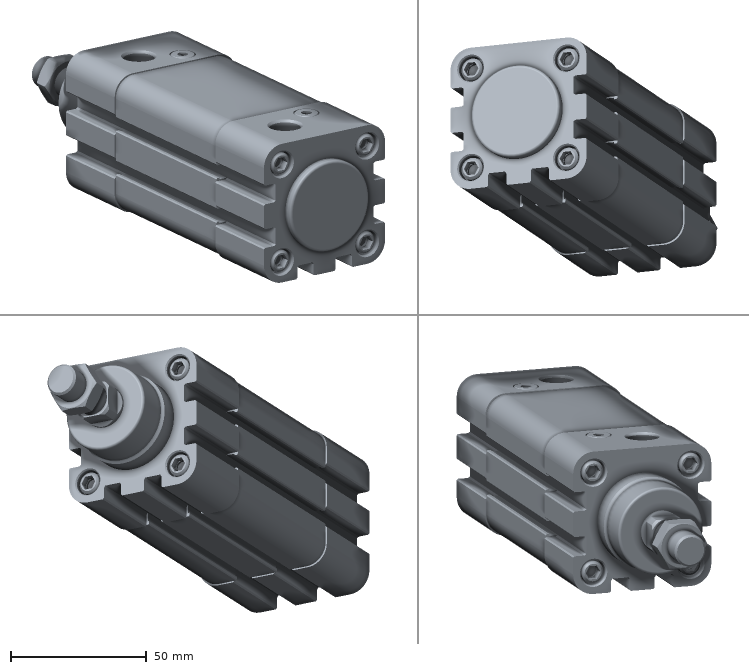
import cadquery as cq
import math


cap_width = 54.0
cap_length = 32.0
cap_corner_radius = 8.0
tube_inset = 0.5
tube_length = 66.0
tube_width = cap_width - 2 * tube_inset
tube_corner_radius = cap_corner_radius
rear_cap_start = cap_length + tube_length
body_length = rear_cap_start + cap_length

collar_diameter = 35.0
front_collar_length = 8.0
nose_diameter = 33.0
nose_end = -21.0
collar_chamfer = 1.0
nose_fillet = 1.0
rear_collar_fillet = 1.0
rear_collar_length = 3.5

slot_offset = 8.5
slot_floor = 21.8
cap_slot_width = 7.3
cap_slot_edge_chamfer = 0.5
cap_slot_floor_width = 6.3
cap_slot_taper_height = 0.8
tube_slot_width = 6.2
tube_slot_mouth_width = 5.0
tube_slot_mouth_chamfer = 0.4
tube_slot_lip_depth = 1.4
slot_face_angles = (90, 180, 270)

countersink_half_angle = 45.0

screw_spacing = 38.0
screw_hole_diameter = 9.7
screw_hole_depth = 5.0
screw_hole_chamfer = 0.5
screw_head_diameter = 8.4
screw_head_recess = 0.5
screw_head_chamfer = 0.9
screw_socket_width = 5.0
screw_socket_depth = 3.0
screw_bore_diameter = 4.92
screw_bore_depth = 4.0

cushion_y = 8.5
cushion_from_end = 24.4
cushion_protrusion = 0.08
cushion_hole_depth = 3.0
cushion_head_diameter = 9.7
cushion_head_face_diameter = 8.4
cushion_socket_diameter = 4.0
cushion_socket_step_depth = 0.5
cushion_hex_width = 3.0
cushion_hex_depth = 2.0
port_y = -6.0
port_from_end = 17.0
port_diameter = 11.45
port_rim_diameter = 13.2
port_depth = 12.0

rod_diameter = 16.0
rod_tip = -54.0
stud_diameter = 12.0
stud_end = -30.0
stud_chamfer = 0.75
shoulder_chamfer = 0.9
flat_width = 13.0
flat_end = -23.0
flat_runout = 1.1
nut_start = -45.3
nut_thickness = 7.0
nut_width = 17.0
nut_face_diameter = 16.6
nut_chamfer_angle = 30.0
rod_bore_depth = cap_length


def axial_plane(x):
    """Plane across the cylinder axis: local x is Y, local y is Z, extrusion goes to +X."""
    return cq.Workplane("YZ", origin=(x, 0, 0))


def rounded_block(x, length, width, radius):
    block = axial_plane(x).rect(width, width).extrude(length)
    return block.edges("|X").fillet(radius)


def extrude_slot(x, length, left_side):
    """Symmetrical slot cutter from the points of its left side, listed from the mouth down."""
    right_side = [(-y, z) for y, z in reversed(left_side)]
    return axial_plane(x).polyline(left_side + right_side).close().extrude(length)


def cap_slot(x):
    """Cap slot cutter opening upwards, with a flared mouth and a tapered bottom."""
    half = cap_slot_width / 2
    top = cap_width / 2
    chamfer = cap_slot_edge_chamfer
    floor = cap_slot_floor_width / 2
    left_side = [
        (-half - chamfer, top),
        (-half, top - chamfer),
        (-half, slot_floor + cap_slot_taper_height),
        (-floor, slot_floor),
    ]
    return extrude_slot(x, cap_length, left_side)


def tube_slot():
    """Tube slot cutter opening upwards, with lips that narrow its mouth."""
    half = tube_slot_width / 2
    mouth = tube_slot_mouth_width / 2
    top = tube_width / 2
    chamfer = tube_slot_mouth_chamfer
    lip_bottom = top - tube_slot_lip_depth
    left_side = [
        (-mouth - chamfer, top),
        (-mouth, top - chamfer),
        (-mouth, lip_bottom),
        (-half, lip_bottom),
        (-half, slot_floor),
    ]
    return extrude_slot(cap_length, tube_length, left_side)


def cut_slots(body):
    for cutter in (cap_slot(0), tube_slot(), cap_slot(rear_cap_start)):
        for angle in slot_face_angles:
            for offset in (-slot_offset, slot_offset):
                slot = cutter.translate((0, offset, 0))
                body = body.cut(slot.rotate((0, 0, 0), (1, 0, 0), angle))
    return body


def hexagon_across(width):
    """Diameter of the circle through the corners of a hexagon of this width across flats."""
    return width / math.cos(math.pi / 6)


def assembly_screw_pocket():
    """Countersunk hole cutter on the axis, sunk into the front face."""
    pocket = axial_plane(0).circle(screw_hole_diameter / 2).extrude(screw_hole_depth)
    rim_radius = screw_hole_diameter / 2 + screw_hole_chamfer
    rim = axial_plane(0).circle(rim_radius).extrude(screw_hole_chamfer, taper=countersink_half_angle)
    return pocket.union(rim)


def assembly_screw():
    """Screw head on the axis, standing on the floor of its pocket, with a hexagon socket."""
    head_length = screw_hole_depth - screw_head_recess
    head = axial_plane(screw_head_recess).circle(screw_head_diameter / 2).extrude(head_length)
    head = head.faces("<X").edges().chamfer(screw_head_chamfer)
    socket = axial_plane(screw_head_recess).polygon(6, hexagon_across(screw_socket_width))
    bore = axial_plane(screw_head_recess).circle(screw_bore_diameter / 2)
    return head.cut(socket.extrude(screw_socket_depth)).cut(bore.extrude(screw_bore_depth))


def fit_assembly_screws(body):
    """Place a pocket with its screw in each corner of both end faces."""
    half = screw_spacing / 2
    body_middle = (body_length / 2, 0, 0)
    for y in (-half, half):
        for z in (-half, half):
            pocket = assembly_screw_pocket().translate((0, y, z))
            screw = assembly_screw().translate((0, y, z))
            body = body.cut(pocket).union(screw)
            body = body.cut(pocket.mirror("YZ", body_middle)).union(screw.mirror("YZ", body_middle))
    return body


def fit_cushion_screw(body, x):
    """Socket screw standing slightly proud of the top face, its chamfer leaving a V groove."""
    top = cap_width / 2
    head_top = top + cushion_protrusion
    recess_floor = top - cushion_hole_depth

    def level(z):
        return cq.Workplane("XY", origin=(x, cushion_y, z))

    hole = level(recess_floor).circle(cushion_head_diameter / 2).extrude(cushion_hole_depth)
    head = level(recess_floor).circle(cushion_head_diameter / 2).extrude(head_top - recess_floor)
    head = head.faces(">Z").edges().chamfer((cushion_head_diameter - cushion_head_face_diameter) / 2)
    step = level(head_top).circle(cushion_socket_diameter / 2).extrude(-cushion_socket_step_depth)
    socket = level(head_top).polygon(6, hexagon_across(cushion_hex_width)).extrude(-cushion_hex_depth)
    socket = socket.rotate((x, cushion_y, 0), (x, cushion_y, 1), 90)
    return body.cut(hole).union(head.cut(step).cut(socket))


def cut_port(body, x):
    plane = cq.Workplane("XY", origin=(x, port_y, cap_width / 2))
    port = plane.circle(port_diameter / 2).extrude(-port_depth)
    rim_depth = (port_rim_diameter - port_diameter) / 2
    rim = plane.circle(port_rim_diameter / 2).extrude(-rim_depth, taper=countersink_half_angle)
    return body.cut(port).cut(rim)


def front_collar():
    """Collar and narrower nose around the rod, the collar chamfered and the nose rounded in front."""
    collar_start = -front_collar_length
    collar = axial_plane(0).circle(collar_diameter / 2).extrude(collar_start)
    collar = collar.faces("<X").edges().chamfer(collar_chamfer)
    nose = axial_plane(nose_end).circle(nose_diameter / 2).extrude(-nose_end)
    nose = nose.faces("<X").edges().fillet(nose_fillet)
    return collar.union(nose)


def rear_collar():
    collar = axial_plane(body_length).circle(collar_diameter / 2).extrude(rear_collar_length)
    return collar.faces(">X").edges().fillet(rear_collar_fillet)


def make_housing():
    body = rounded_block(0, cap_length, cap_width, cap_corner_radius)
    body = body.union(rounded_block(cap_length, tube_length, tube_width, tube_corner_radius))
    body = body.union(rounded_block(rear_cap_start, cap_length, cap_width, cap_corner_radius))
    body = cut_slots(body)
    body = fit_assembly_screws(body)
    for x in (cushion_from_end, body_length - cushion_from_end):
        body = fit_cushion_screw(body, x)
    for x in (port_from_end, body_length - port_from_end):
        body = cut_port(body, x)
    body = body.union(front_collar()).union(rear_collar())
    rod_bore = axial_plane(nose_end).circle(rod_diameter / 2).extrude(rod_bore_depth - nose_end)
    return body.cut(rod_bore)


def wrench_flat():
    """Cutter for the top wrench flat, ending in a sloped run-out to the full rod diameter."""
    flat = flat_width / 2
    rod = rod_diameter / 2
    profile = cq.Workplane("XZ", origin=(0, rod, 0)).polyline(
        [(stud_end, flat), (flat_end, flat), (flat_end + flat_runout, rod), (stud_end, rod)]
    )
    return profile.close().extrude(rod_diameter)


def lock_nut():
    """Hexagon nut with its corners turned off on both faces."""
    corner_diameter = hexagon_across(nut_width)
    nut = axial_plane(nut_start).polygon(6, corner_diameter).extrude(nut_thickness)
    chamfer_radial = (corner_diameter - nut_face_diameter) / 2
    chamfer_axial = chamfer_radial * math.tan(math.radians(nut_chamfer_angle))
    turned = axial_plane(nut_start).circle(corner_diameter / 2).extrude(nut_thickness)
    turned = turned.faces("<X or >X").edges().chamfer(chamfer_axial, chamfer_radial)
    return nut.intersect(turned)


def make_rod():
    rod = axial_plane(stud_end).circle(rod_diameter / 2).extrude(rod_bore_depth - stud_end)
    rod = rod.faces("<X").edges().chamfer(shoulder_chamfer)
    for angle in (0, 90, 180, 270):
        rod = rod.cut(wrench_flat().rotate((0, 0, 0), (1, 0, 0), angle))
    stud = axial_plane(rod_tip).circle(stud_diameter / 2).extrude(stud_end - rod_tip)
    stud = stud.faces("<X").edges().chamfer(stud_chamfer)
    return rod.union(stud).union(lock_nut())


housing = make_housing()
piston_rod = make_rod()
result = cq.Compound.makeCompound([housing.val(), piston_rod.val()])